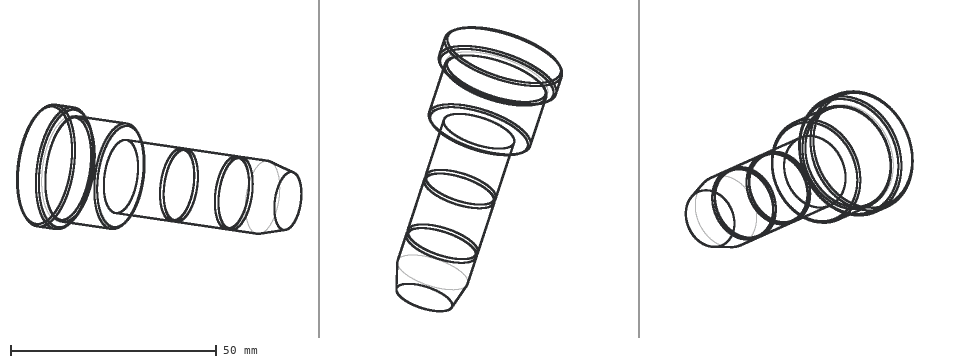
import cadquery as cq
import math

length = 67.0
head_radius = 30.0 / 2
head_length = 6.0
collar_radius = 26.0 / 2
collar_end = 21.05
shaft_radius = 18.0 / 2
edge_chamfer = 0.55

tip_length = 7.0
tip_angle = 15.0
tip_radius = shaft_radius - tip_length * math.tan(math.radians(tip_angle))

groove_width = 1.0
groove_depth = 0.4
shaft_groove_starts = (36.5, 51.6)


def ring_groove(start, surface_radius):
    """Ring with an arc-shaped floor, to be cut into a cylinder."""
    end = start + groove_width
    middle = start + groove_width / 2
    outside = surface_radius + groove_depth
    return (
        cq.Workplane("XY")
        .moveTo(start, outside)
        .lineTo(start, surface_radius)
        .threePointArc((middle, surface_radius - groove_depth), (end, surface_radius))
        .lineTo(end, outside)
        .close()
        .revolve(360, (0, 0, 0), (1, 0, 0))
    )


def cylinder(start, end, radius):
    return cq.Workplane("YZ", origin=(start, 0, 0)).circle(radius).extrude(end - start)


head = cylinder(0, head_length, head_radius).edges().chamfer(edge_chamfer)

collar = cylinder(0, collar_end, collar_radius).faces(">X").edges().chamfer(edge_chamfer)

tip_start = length - tip_length
shaft = (
    cq.Workplane("XY")
    .lineTo(0, shaft_radius)
    .lineTo(tip_start, shaft_radius)
    .lineTo(length, tip_radius)
    .lineTo(length, 0)
    .close()
    .revolve(360, (0, 0, 0), (1, 0, 0))
)

result = shaft.union(collar).union(head)

result = result.cut(ring_groove(head_length, collar_radius))
for groove_start in shaft_groove_starts:
    result = result.cut(ring_groove(groove_start, shaft_radius))